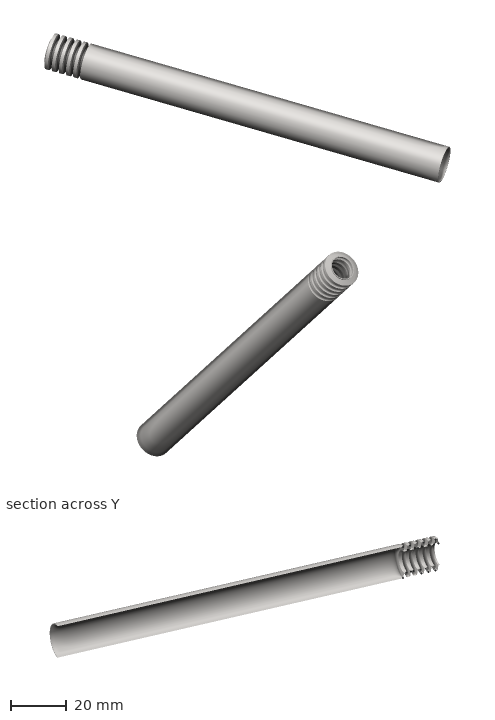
import cadquery as cq

length = 150.0
outer_diameter = 13.4
neck_diameter = 9.2
wall = 0.3

fold_count = 5
fold_pitch = 2.7
fold_crest_width = 1.2
fold_flank_run = 0.38
end_neck_length = 0.38

start_x = -length / 2
end_x = length / 2
first_fold_x = start_x + end_neck_length
tube_start_x = first_fold_x + fold_count * fold_pitch


def bellows_body(inset):
    """Solid of revolution of the folds and tube, with its sides moved inward by the inset."""
    crest_radius = outer_diameter / 2 - inset
    neck_radius = neck_diameter / 2 - inset

    outline = [(start_x, 0), (start_x, neck_radius)]
    for index in range(fold_count):
        fold_start = first_fold_x + index * fold_pitch
        crest_start = fold_start + fold_flank_run
        crest_end = crest_start + fold_crest_width
        fold_end = crest_end + fold_flank_run
        outline += [
            (fold_start + inset, neck_radius),
            (crest_start + inset, crest_radius),
            (crest_end - inset, crest_radius),
            (fold_end - inset, neck_radius),
        ]
    outline += [
        (tube_start_x + inset, neck_radius),
        (tube_start_x + fold_flank_run + inset, crest_radius),
        (end_x, crest_radius),
        (end_x, 0),
    ]
    return cq.Workplane("XY").polyline(outline).close().revolve(360, (0, 0, 0), (1, 0, 0))


result = bellows_body(0).cut(bellows_body(wall))